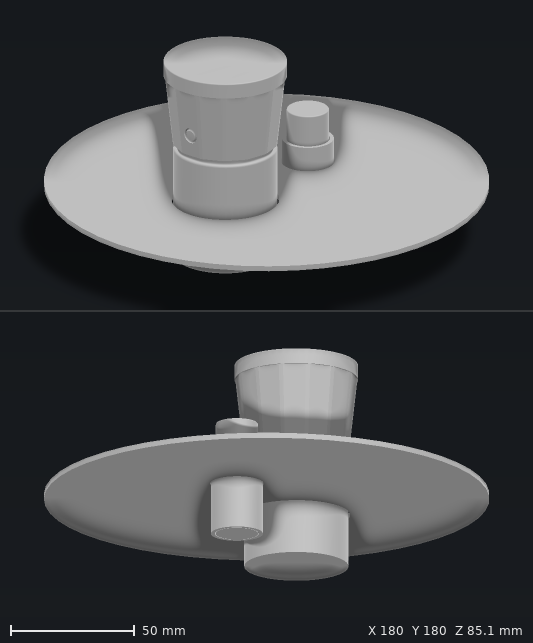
import cadquery as cq
import math


PLATE_DIAMETER = 180.0
PLATE_THICKNESS = 2.2
CONTROL_OFFSET = 26.0

SLEEVE_DIAMETER = 42.1
SLEEVE_RADIUS = SLEEVE_DIAMETER / 2
SLEEVE_BOTTOM = -21.6
SLEEVE_TOP = 25.5
SLEEVE_EDGE_ROUND = 1.0
SLEEVE_CLEARANCE = 0.7
NECK_RADIUS = 17.3
NECK_FLARE = 2.2

KNOB_HEIGHT = 35.8
KNOB_BOTTOM = SLEEVE_TOP + NECK_FLARE
KNOB_TOP = KNOB_BOTTOM + KNOB_HEIGHT
KNOB_DOME_RISE = 0.5
GRIP_HEIGHT = 29.0
GRIP_BOTTOM_RADIUS = 21.5
GRIP_TOP_RADIUS = 24.7
GRIP_FLATS = 14
GRIP_FLAT_HALF_ANGLE = 10.8
COLLAR_DIAMETER = 50.0
COLLAR_RADIUS = COLLAR_DIAMETER / 2
COLLAR_EDGE_ROUND = 0.5

PIN_HEIGHT = 36.9
PIN_HOLE_RADIUS = 3.2
PIN_CLEARANCE = 0.5
PIN_EDGE_CHAMFER = 0.5
PIN_LENGTH = 7.2
PIN_DOME_RISE = 0.2

FLAT_RATIO = math.cos(math.radians(GRIP_FLAT_HALF_ANGLE))
FLAT_SLOPE = (GRIP_TOP_RADIUS - GRIP_BOTTOM_RADIUS) * FLAT_RATIO / GRIP_HEIGHT
FLAT_REACH = GRIP_BOTTOM_RADIUS * FLAT_RATIO + FLAT_SLOPE * (PIN_HEIGHT - KNOB_BOTTOM)

BUTTON_SLEEVE_DIAMETER = 21.0
BUTTON_SLEEVE_RADIUS = BUTTON_SLEEVE_DIAMETER / 2
BUTTON_SLEEVE_BOTTOM = -21.0
BUTTON_SLEEVE_TOP = 12.2
BUTTON_SLEEVE_CLEARANCE = 0.27
BUTTON_DIAMETER = 17.1
BUTTON_RADIUS = BUTTON_DIAMETER / 2
BUTTON_TOP = 25.2
BUTTON_CLEARANCE = 0.4
BUTTON_EDGE_ROUND = 0.5

DIAGONAL = math.sqrt(0.5)


def cylinder(radius, bottom, top):
    return cq.Workplane("XY").workplane(offset=bottom).circle(radius).extrude(top - bottom)


def regular_polygon(apothem, sides):
    """Corner points of a polygon that has one flat facing -Y."""
    corner_radius = apothem / math.cos(math.pi / sides)
    points = []
    for i in range(sides):
        angle = -math.pi / 2 + (i + 0.5) * 2 * math.pi / sides
        points.append((corner_radius * math.cos(angle), corner_radius * math.sin(angle)))
    return points


def dome_middle(rim_radius, rise, top):
    """Point of a dome's arc half-way between its rim and its axis."""
    dome_radius = (rim_radius**2 + rise**2) / (2 * rise)
    half_way = rim_radius / 2
    return half_way, top - dome_radius + math.sqrt(dome_radius**2 - half_way**2)


def make_plate():
    plate = cylinder(PLATE_DIAMETER / 2, 0, PLATE_THICKNESS)
    sleeve_hole = cylinder(SLEEVE_RADIUS + SLEEVE_CLEARANCE, 0, PLATE_THICKNESS)
    button_hole = cylinder(BUTTON_SLEEVE_RADIUS + BUTTON_SLEEVE_CLEARANCE, 0, PLATE_THICKNESS)
    plate = plate.cut(sleeve_hole.translate((0, -CONTROL_OFFSET, 0)))
    return plate.cut(button_hole.translate((0, CONTROL_OFFSET, 0)))


def make_sleeve():
    """Round sleeve with a rounded shoulder and a flared neck up to the knob."""
    shoulder_radius = SLEEVE_RADIUS - SLEEVE_EDGE_ROUND
    shoulder_height = SLEEVE_TOP - SLEEVE_EDGE_ROUND
    flare_radius = NECK_RADIUS + NECK_FLARE
    profile = (
        cq.Workplane("XZ")
        .moveTo(0, SLEEVE_BOTTOM)
        .lineTo(SLEEVE_RADIUS, SLEEVE_BOTTOM)
        .lineTo(SLEEVE_RADIUS, shoulder_height)
        .threePointArc(
            (shoulder_radius + SLEEVE_EDGE_ROUND * DIAGONAL, shoulder_height + SLEEVE_EDGE_ROUND * DIAGONAL),
            (shoulder_radius, SLEEVE_TOP),
        )
        .lineTo(flare_radius, SLEEVE_TOP)
        .threePointArc(
            (flare_radius - NECK_FLARE * DIAGONAL, KNOB_BOTTOM - NECK_FLARE * DIAGONAL),
            (NECK_RADIUS, KNOB_BOTTOM),
        )
        .lineTo(0, KNOB_BOTTOM)
        .close()
    )
    sleeve = profile.revolve(360, (0, 0, 0), (0, 1, 0))
    return sleeve.translate((0, -CONTROL_OFFSET, 0))


def make_grip():
    """Tapered grip: a cone with flats, leaving narrow conical strips between them."""
    base = cq.Workplane("XY").workplane(offset=KNOB_BOTTOM)
    cone = base.circle(GRIP_BOTTOM_RADIUS).workplane(offset=GRIP_HEIGHT).circle(GRIP_TOP_RADIUS).loft()
    pyramid = (
        base.polyline(regular_polygon(GRIP_BOTTOM_RADIUS * FLAT_RATIO, GRIP_FLATS)).close()
        .workplane(offset=GRIP_HEIGHT)
        .polyline(regular_polygon(GRIP_TOP_RADIUS * FLAT_RATIO, GRIP_FLATS)).close()
        .loft(ruled=True)
    )
    return cone.intersect(pyramid)


def make_collar():
    """Round collar on top of the grip, with a rounded rim and a slightly domed top."""
    rim_height = KNOB_TOP - KNOB_DOME_RISE
    rim_radius = COLLAR_RADIUS - COLLAR_EDGE_ROUND
    side_height = rim_height - COLLAR_EDGE_ROUND
    grip_top = KNOB_BOTTOM + GRIP_HEIGHT
    profile = (
        cq.Workplane("XZ")
        .moveTo(0, grip_top)
        .lineTo(COLLAR_RADIUS, grip_top)
        .lineTo(COLLAR_RADIUS, side_height)
        .threePointArc(
            (rim_radius + COLLAR_EDGE_ROUND * DIAGONAL, side_height + COLLAR_EDGE_ROUND * DIAGONAL),
            (rim_radius, rim_height),
        )
        .threePointArc(dome_middle(rim_radius, KNOB_DOME_RISE, KNOB_TOP), (0, KNOB_TOP))
        .close()
    )
    return profile.revolve(360, (0, 0, 0), (0, 1, 0))


def pin_plane():
    """Plane on the front flat at the pin, with its normal pointing out of the knob."""
    return cq.Plane(origin=(0, -CONTROL_OFFSET - FLAT_REACH, PIN_HEIGHT), xDir=(1, 0, 0),
                    normal=(0, -1, -FLAT_SLOPE))


def make_knob():
    knob = make_grip().union(make_collar()).translate((0, -CONTROL_OFFSET, 0))
    pin_hole = cq.Workplane(pin_plane()).circle(PIN_HOLE_RADIUS).extrude(-PIN_LENGTH)
    return knob.cut(pin_hole)


def make_pin():
    """Round pin whose outer end is a shallow dome reaching the surface of the flat."""
    radius = PIN_HOLE_RADIUS - PIN_CLEARANCE
    rim_radius = radius - PIN_EDGE_CHAMFER
    profile = (
        cq.Workplane("XZ")
        .moveTo(0, -PIN_LENGTH)
        .lineTo(radius, -PIN_LENGTH)
        .lineTo(radius, -PIN_DOME_RISE - PIN_EDGE_CHAMFER)
        .lineTo(rim_radius, -PIN_DOME_RISE)
        .threePointArc(dome_middle(rim_radius, PIN_DOME_RISE, 0), (0, 0))
        .close()
    )
    pin = profile.revolve(360, (0, 0, 0), (0, 1, 0)).val()
    return cq.Workplane(pin.moved(pin_plane().location))


def make_button_sleeve():
    tube = cylinder(BUTTON_SLEEVE_RADIUS, BUTTON_SLEEVE_BOTTOM, BUTTON_SLEEVE_TOP)
    bore = cylinder(BUTTON_RADIUS + BUTTON_CLEARANCE, BUTTON_SLEEVE_BOTTOM, BUTTON_SLEEVE_TOP)
    return tube.cut(bore).translate((0, CONTROL_OFFSET, 0))


def make_button():
    button = cylinder(BUTTON_RADIUS, BUTTON_SLEEVE_BOTTOM, BUTTON_TOP)
    button = button.faces(">Z").edges().fillet(BUTTON_EDGE_ROUND)
    return button.translate((0, CONTROL_OFFSET, 0))


plate = make_plate()
sleeve = make_sleeve()
knob = make_knob()
pin = make_pin()
button_sleeve = make_button_sleeve()
button = make_button()

result = cq.Compound.makeCompound([
    plate.val(),
    sleeve.val(),
    knob.val(),
    pin.val(),
    button_sleeve.val(),
    button.val(),
])